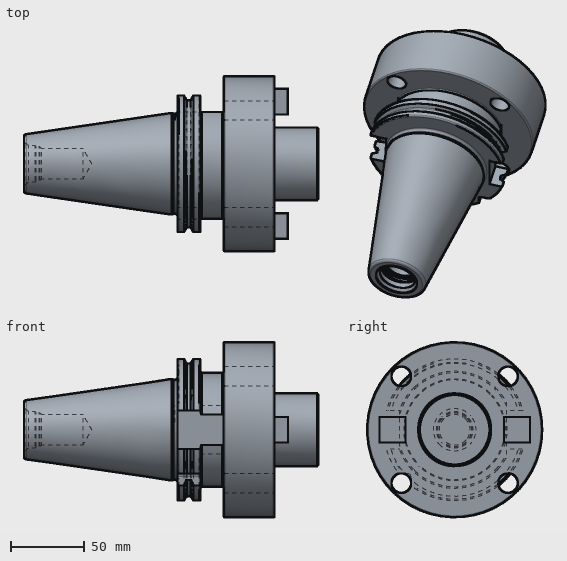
import cadquery as cq
import math


total_length = 201.5
gauge_x = 101.0
flange_start = 105.0
flange_end = 120.8
disc_start = 136.7
disc_end = 171.5
groove_middle = 112.7

gauge_radius = 34.9
taper_ratio = 7 / 24
nose_radius = gauge_radius - gauge_x * taper_ratio / 2
nose_round = 2.0
relief_depth = 0.6
relief_slope = 1.2
relief_round = 1.6

flange_radius = 48.5
flange_round = 1.0
groove_floor_radius = 45.5
groove_floor_width = 3.6
groove_mouth_width = 6.7
groove_floor_round = 0.6

neck_radius = 39.1
neck_round = 1.0
disc_radius = 120.0 / 2
disc_round = 1.0
pilot_radius = 25.0
pilot_chamfer = 1.2

bore_mouth_radius = 14.5
bore_mouth_depth = 0.6
bore_cone_depth = 3.0
bore_radius = 12.5
bore_depth = 7.7
thread_radius = 11.9
thread_depth = 10.5
runout_radius = 11.5
runout_depth = 11.0
drill_radius = 10.5
drill_depth = 40.3
drill_point_angle = 120.0

slot_width = 26.2
slot_floor_front = 37.7
slot_floor_back = 35.5

notch_corner = 30.0
notch_round = 2.0

bolt_hole_offset = 36.5
bolt_hole_radius = 6.7
key_inner = 33.7
key_size = 17.7
key_height = 9.0


def revolve_about_x(profile):
    """Revolve a closed (x, radius) sketch a full turn about the X axis."""
    return profile.close().revolve(360, (0, 0, 0), (1, 0, 0))


def box_between(x_range, y_range, z_range):
    """Box spanning the given (low, high) ranges."""
    size = [high - low for low, high in (x_range, y_range, z_range)]
    corner = (x_range[0], y_range[0], z_range[0])
    return cq.Workplane("XY").box(*size, centered=False).translate(corner)


def taper():
    relief_radius = gauge_radius - relief_depth
    cone = revolve_about_x(
        cq.Workplane("XY")
        .lineTo(0, nose_radius)
        .lineTo(gauge_x, gauge_radius)
        .lineTo(gauge_x + relief_slope, relief_radius)
        .lineTo(flange_start - relief_round, relief_radius)
        .radiusArc((flange_start, relief_radius + relief_round), -relief_round)
        .lineTo(flange_start, 0)
    )
    return cone.faces("<X").edges().fillet(nose_round)


def cylinder(start, end, radius):
    return cq.Workplane("YZ", origin=(start, 0, 0)).circle(radius).extrude(end - start)


def flange():
    ring = cylinder(flange_start, flange_end, flange_radius)
    ring = ring.faces("<X or >X").edges().fillet(flange_round)
    round_top = groove_floor_radius + groove_floor_round
    half_floor = groove_floor_width / 2
    half_flat = half_floor - groove_floor_round
    half_mouth = groove_mouth_width / 2
    groove = revolve_about_x(
        cq.Workplane("XY")
        .moveTo(groove_middle - half_mouth, flange_radius)
        .lineTo(groove_middle - half_floor, round_top)
        .radiusArc((groove_middle - half_flat, groove_floor_radius), -groove_floor_round)
        .lineTo(groove_middle + half_flat, groove_floor_radius)
        .radiusArc((groove_middle + half_floor, round_top), -groove_floor_round)
        .lineTo(groove_middle + half_mouth, flange_radius)
    )
    return ring.cut(groove)


def orientation_notch():
    block = box_between(
        (flange_start, flange_end),
        (-flange_radius, -notch_corner),
        (-flange_radius, -notch_corner),
    )
    return block.edges("|X and >Y and >Z").fillet(notch_round)


def neck():
    """Neck with a concave round where it meets the flange and the disc."""
    foot_radius = neck_radius + neck_round
    return revolve_about_x(
        cq.Workplane("XY")
        .moveTo(flange_end, 0)
        .lineTo(flange_end, foot_radius)
        .radiusArc((flange_end + neck_round, neck_radius), -neck_round)
        .lineTo(disc_start - neck_round, neck_radius)
        .radiusArc((disc_start, foot_radius), -neck_round)
        .lineTo(disc_start, 0)
    )


def drive_slots():
    """Slots through the flange, widening to full flats across the neck."""
    front = (-flange_radius, -slot_floor_front)
    back = (slot_floor_back, flange_radius)
    slots = cq.Workplane("XY")
    for depth_range in (front, back):
        for x_range, width in (
            ((flange_start, flange_end), slot_width),
            ((flange_end, disc_start), 2 * flange_radius),
        ):
            slots = slots.add(box_between(x_range, depth_range, (-width / 2, width / 2)))
    return slots.combine()


def disc():
    plate = cylinder(disc_start, disc_end, disc_radius)
    plate = plate.faces("<X or >X").edges().fillet(disc_round)
    holes = (
        cq.Workplane("YZ", origin=(disc_start, 0, 0))
        .rect(2 * bolt_hole_offset, 2 * bolt_hole_offset, forConstruction=True)
        .vertices()
        .circle(bolt_hole_radius)
        .extrude(disc_end - disc_start)
    )
    return plate.cut(holes)


def pilot():
    return cylinder(disc_end, total_length, pilot_radius).faces(">X").chamfer(pilot_chamfer)


def drive_keys():
    key_middle = key_inner + key_size / 2
    return (
        cq.Workplane("YZ", origin=(disc_end, 0, 0))
        .pushPoints([(-key_middle, 0), (key_middle, 0)])
        .rect(key_size, key_size)
        .extrude(key_height)
    )


def drawbar_bore():
    point_length = drill_radius / math.tan(math.radians(drill_point_angle / 2))
    return revolve_about_x(
        cq.Workplane("XY")
        .lineTo(0, bore_mouth_radius)
        .lineTo(bore_mouth_depth, bore_mouth_radius)
        .lineTo(bore_cone_depth, bore_radius)
        .lineTo(bore_depth, bore_radius)
        .lineTo(bore_depth + bore_radius - thread_radius, thread_radius)
        .lineTo(thread_depth, thread_radius)
        .lineTo(thread_depth + thread_radius - runout_radius, runout_radius)
        .lineTo(runout_depth, runout_radius)
        .lineTo(runout_depth + runout_radius - drill_radius, drill_radius)
        .lineTo(drill_depth, drill_radius)
        .lineTo(drill_depth + point_length, 0)
    )


shank = taper().union(flange().cut(orientation_notch())).union(neck())
shank = shank.cut(drive_slots()).cut(drawbar_bore())
result = shank.union(disc()).union(pilot()).union(drive_keys())